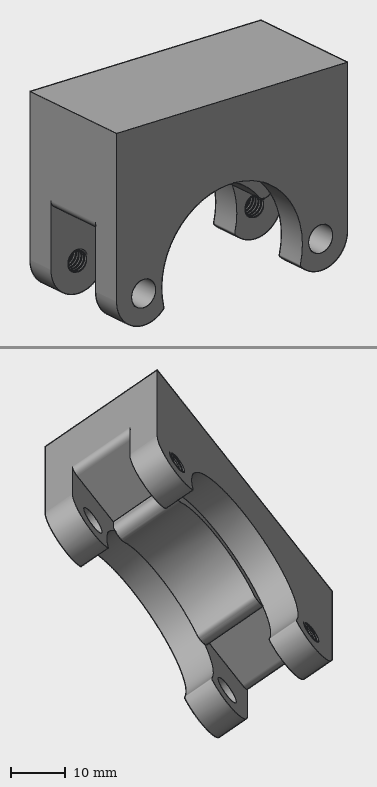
import cadquery as cq
import math

width = 25.4
length = 54.0
height = 39.7

gap_width = 13.0
plate_thickness = (width - gap_width) / 2
lug_radius = 6.3
pin_y = length / 2 - lug_radius
pin_z = lug_radius
lug_tip_fillet = 0.5

plate_saddle_radius = 16.4
bridge_saddle_radius = 14.2

bridge_shoulder_z = 18.45
bridge_foot_z = 14.45
bridge_foot_half_length = 14.4
shoulder_fillet = 1.5
foot_outer_fillet = 1.95
foot_inner_fillet = 1.1

clearance_diameter = 5.6
thread_minor_diameter = 4.05
thread_major_diameter = 4.8
thread_pitch = 0.8
thread_run_out = 1.5 * thread_pitch
bore_run_out = 2 * thread_pitch
groove_root_width = 0.1
groove_mouth_width = 0.6
groove_overlap = 0.1


def x_cylinder(radius, x_start, x_length, y):
    """Cylinder along X at the height of the pins."""
    return (
        cq.Workplane("YZ", origin=(x_start, y, pin_z))
        .circle(radius)
        .extrude(x_length)
    )


def side_plate(x_start):
    """Plate with two rounded lugs either side of a circular saddle."""
    plate = (
        cq.Workplane("YZ", origin=(x_start, 0, 0))
        .center(0, (pin_z + height) / 2)
        .rect(length, height - pin_z)
        .extrude(plate_thickness)
    )
    for side in (-1, 1):
        plate = plate.union(x_cylinder(lug_radius, x_start, plate_thickness, side * pin_y))
    plate = plate.cut(x_cylinder(plate_saddle_radius, x_start, plate_thickness, 0))

    tip_y = (pin_y**2 + plate_saddle_radius**2 - lug_radius**2) / (2 * pin_y)
    tip_z = pin_z - math.sqrt(plate_saddle_radius**2 - tip_y**2)
    for side in (-1, 1):
        tip = cq.selectors.NearestToPointSelector(
            (x_start + plate_thickness / 2, side * tip_y, tip_z)
        )
        plate = plate.edges(tip).fillet(lug_tip_fillet)
    return plate


def bridge():
    """Middle section joining the plates, with two rounded feet beside its saddle."""
    foot_inner_y = math.sqrt(bridge_saddle_radius**2 - (bridge_foot_z - pin_z) ** 2)
    body = (
        cq.Workplane("YZ", origin=(-gap_width / 2, 0, 0))
        .moveTo(-length / 2, height)
        .lineTo(-length / 2, bridge_shoulder_z)
        .lineTo(-bridge_foot_half_length, bridge_shoulder_z)
        .lineTo(-bridge_foot_half_length, bridge_foot_z)
        .lineTo(-foot_inner_y, bridge_foot_z)
        .threePointArc((0, pin_z + bridge_saddle_radius), (foot_inner_y, bridge_foot_z))
        .lineTo(bridge_foot_half_length, bridge_foot_z)
        .lineTo(bridge_foot_half_length, bridge_shoulder_z)
        .lineTo(length / 2, bridge_shoulder_z)
        .lineTo(length / 2, height)
        .close()
        .extrude(gap_width)
    )
    rounded_corners = (
        (length / 2, bridge_shoulder_z, shoulder_fillet),
        (bridge_foot_half_length, bridge_foot_z, foot_outer_fillet),
        (foot_inner_y, bridge_foot_z, foot_inner_fillet),
    )
    for corner_y, corner_z, radius in rounded_corners:
        for side in (-1, 1):
            corner = cq.selectors.NearestToPointSelector((0, side * corner_y, corner_z))
            body = body.edges(corner).fillet(radius)
    return body


def thread_groove(y):
    """Helical groove along X that runs out past both faces of the -X plate."""
    minor_radius = thread_minor_diameter / 2
    inner_radius = minor_radius - groove_overlap
    helix_start = -width / 2 - thread_run_out
    helix_length = plate_thickness + 2 * thread_run_out
    helix = cq.Wire.makeHelix(
        thread_pitch, helix_length, minor_radius,
        center=cq.Vector(helix_start, y, pin_z), dir=cq.Vector(1, 0, 0),
    )
    start = helix.startPoint()
    radial = (start - cq.Vector(helix_start, y, pin_z)).normalized()
    section = cq.Plane(
        origin=(helix_start, y, pin_z),
        xDir=radial.toTuple(),
        normal=radial.cross(cq.Vector(1, 0, 0)).toTuple(),
    )
    return (
        cq.Workplane(section)
        .moveTo(inner_radius, -groove_mouth_width / 2)
        .lineTo(thread_major_diameter / 2, -groove_root_width / 2)
        .lineTo(thread_major_diameter / 2, groove_root_width / 2)
        .lineTo(inner_radius, groove_mouth_width / 2)
        .close()
        .sweep(cq.Workplane(helix), isFrenet=True)
    )


def threaded_bore(y):
    """Minor bore and thread groove as one cutter, longer than the plate at both ends."""
    bore = x_cylinder(
        thread_minor_diameter / 2,
        -width / 2 - bore_run_out,
        plate_thickness + 2 * bore_run_out,
        y,
    )
    return bore.union(thread_groove(y))


result = side_plate(-width / 2).union(side_plate(gap_width / 2)).union(bridge()).clean()

for side in (-1, 1):
    hole_y = side * pin_y
    result = result.cut(
        x_cylinder(clearance_diameter / 2, gap_width / 2, plate_thickness, hole_y)
    )
    result = result.cut(threaded_bore(hole_y))

result = result.solids().val()